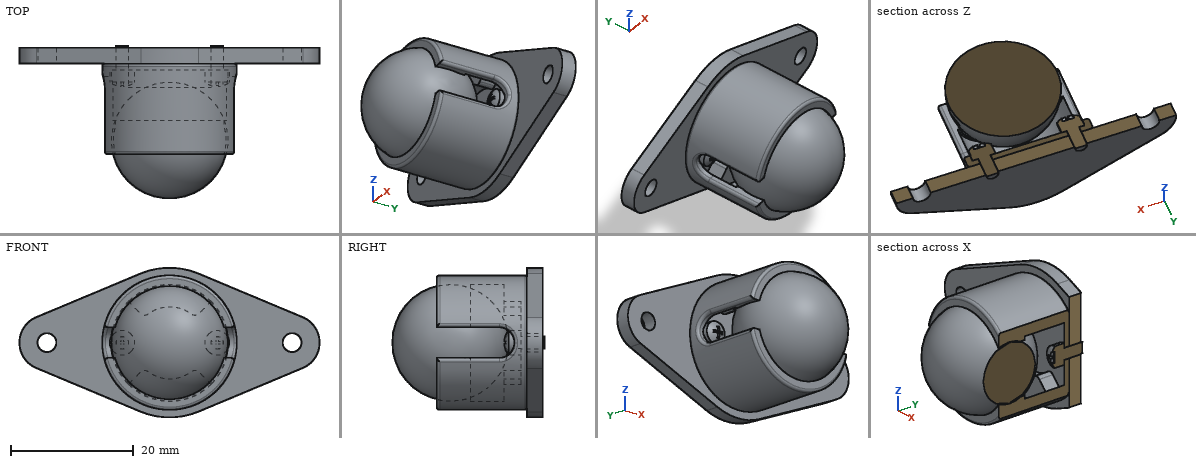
import cadquery as cq
import math


plate_length = 49.0
plate_height = 24.45
plate_thickness = 2.6
ear_radius = 4.5
ear_hole_radius = 1.5
ear_x = plate_length / 2 - ear_radius
waist_radius = plate_height / 2

ball_radius = 9.5
ball_tip_depth = 22.0
ball_centre_depth = ball_tip_depth - ball_radius

cup_radius = 11.0
cup_depth = 14.75
floor_thickness = 1.0
bore_radius = 9.55
lip_radius = 9.2
lip_depth = 9.2
rim_fillet = 0.5
base_fillet = 0.4

slot_width = 5.0
slot_end_depth = 2.05
slot_centre_depth = slot_end_depth + slot_width / 2

block_inner_radius = 5.9
block_height = 2.85
block_half_angle = math.radians(45)
block_fillet = 0.95

screw_x = 7.75
shank_radius = 1.05
shank_protrusion = 0.3
head_radius = 2.0
head_rim_depth = 3.0
head_tip_depth = 3.7
recess_length = 1.95
recess_width = 0.4
recess_depth = 0.75

tolerance = 0.005


def cylinder(radius, start, end, x=0.0):
    """Cylinder along Y at the given X, from Y = start down to Y = end."""
    return cq.Workplane("XZ", origin=(x, start, 0)).circle(radius).extrude(start - end)


def make_plate():
    """Waist circle and two ear circles joined by their common tangents, with holes."""
    sine = (waist_radius - ear_radius) / ear_x
    cosine = math.sqrt(1 - sine**2)
    waist_tangent_x = waist_radius * sine
    waist_tangent_z = waist_radius * cosine
    ear_tangent_x = ear_x + ear_radius * sine
    ear_tangent_z = ear_radius * cosine
    plate = (
        cq.Workplane("XZ", origin=(0, plate_thickness, 0))
        .moveTo(-waist_tangent_x, waist_tangent_z)
        .threePointArc((0, waist_radius), (waist_tangent_x, waist_tangent_z))
        .lineTo(ear_tangent_x, ear_tangent_z)
        .threePointArc((plate_length / 2, 0), (ear_tangent_x, -ear_tangent_z))
        .lineTo(waist_tangent_x, -waist_tangent_z)
        .threePointArc((0, -waist_radius), (-waist_tangent_x, -waist_tangent_z))
        .lineTo(-ear_tangent_x, -ear_tangent_z)
        .threePointArc((-plate_length / 2, 0), (-ear_tangent_x, ear_tangent_z))
        .close()
        .extrude(plate_thickness)
    )
    for side in (-1, 1):
        plate = plate.cut(cylinder(ear_hole_radius, plate_thickness, 0, side * ear_x))
        plate = plate.cut(cylinder(shank_radius, plate_thickness, 0, side * screw_x))
    return plate


def make_ball():
    return cq.Workplane("XY", origin=(0, -ball_centre_depth, 0)).sphere(ball_radius)


def make_slot():
    """Slot through both side walls, round at the plate end and open at the mouth."""
    half_width = slot_width / 2
    return (
        cq.Workplane("YZ")
        .moveTo(-cup_depth, half_width)
        .lineTo(-slot_centre_depth, half_width)
        .threePointArc((-slot_end_depth, 0), (-slot_centre_depth, -half_width))
        .lineTo(-cup_depth, -half_width)
        .close()
        .extrude(cup_radius, both=True)
    )


def borders_opening(edge):
    """True for an outer-wall edge along a slot or along the mouth, false for the wall's seam."""
    return all(
        math.isclose(math.hypot(corner.X, corner.Z), cup_radius, abs_tol=tolerance)
        and corner.Y < tolerance - slot_end_depth
        for corner in edge.Vertices()
    )


def make_floor_block():
    """Ring sector above the axis, from the floor, running from the inner radius into the wall."""
    outer_radius = (bore_radius + cup_radius) / 2
    sine = math.sin(block_half_angle)
    cosine = math.cos(block_half_angle)
    block = (
        cq.Workplane("XZ", origin=(0, -floor_thickness, 0))
        .moveTo(-block_inner_radius * sine, block_inner_radius * cosine)
        .threePointArc((0, block_inner_radius), (block_inner_radius * sine, block_inner_radius * cosine))
        .lineTo(outer_radius * sine, outer_radius * cosine)
        .threePointArc((0, outer_radius), (-outer_radius * sine, outer_radius * cosine))
        .close()
        .extrude(block_height)
    )
    return block.edges("|Y").edges("<Z").fillet(block_fillet)


def make_cup():
    """Slotted cup with two floor blocks, a seat for the ball, and room for screws and heads."""
    cup = cylinder(cup_radius, 0, -cup_depth).faces(">Y").edges().fillet(base_fillet)
    cup = cup.cut(cylinder(lip_radius, -floor_thickness, -cup_depth)).cut(make_slot())
    cup = cup.edges().filter(borders_opening).fillet(rim_fillet)
    cup = cup.cut(cylinder(bore_radius, -floor_thickness, -lip_depth))
    cup = cup.cut(make_ball())
    block = make_floor_block()
    cup = cup.union(block).union(block.mirror("XY"))
    for side in (-1, 1):
        cup = cup.cut(cylinder(shank_radius, 0, -floor_thickness, side * screw_x))
        cup = cup.cut(cylinder(head_radius, -floor_thickness, -head_rim_depth, side * screw_x))
    return cup


def make_screw(x):
    """Shank through plate and cup floor, with a domed, cross-recessed head on the floor."""
    dome_height = head_tip_depth - head_rim_depth
    dome_radius = (head_radius**2 + dome_height**2) / (2 * dome_height)
    dome_centre_depth = head_tip_depth - dome_radius
    half_arc = math.asin(head_radius / dome_radius) / 2
    dome_middle = (dome_radius * math.sin(half_arc), -dome_centre_depth - dome_radius * math.cos(half_arc))
    screw = (
        cq.Workplane("XY", origin=(x, 0, 0))
        .moveTo(0, plate_thickness + shank_protrusion)
        .lineTo(shank_radius, plate_thickness + shank_protrusion)
        .lineTo(shank_radius, -floor_thickness)
        .lineTo(head_radius, -floor_thickness)
        .lineTo(head_radius, -head_rim_depth)
        .threePointArc(dome_middle, (0, -head_tip_depth))
        .close()
        .revolve(360, (0, 0, 0), (0, 1, 0))
    )
    recess_floor = cq.Workplane("XZ", origin=(x, recess_depth - head_tip_depth, 0))
    for length_x, length_z in ((recess_length, recess_width), (recess_width, recess_length)):
        screw = screw.cut(recess_floor.rect(length_x, length_z).extrude(recess_depth))
    return screw


plate = make_plate()
cup = make_cup()
ball = make_ball()
screws = [make_screw(side * screw_x) for side in (-1, 1)]

result = cq.Compound.makeCompound(
    [plate.val(), cup.val(), ball.val(), *[screw.val() for screw in screws]]
)